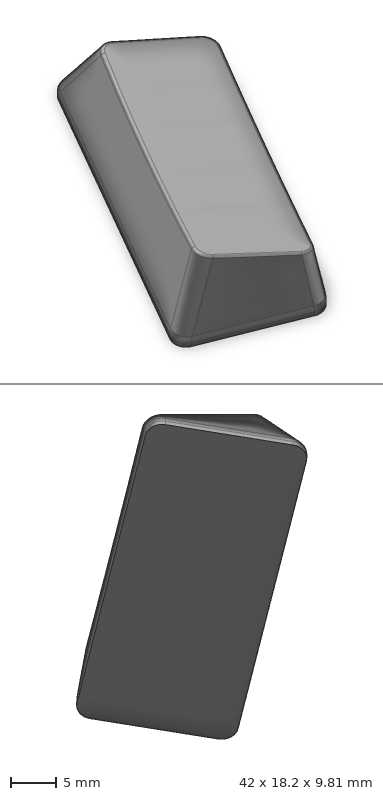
import cadquery as cq
import math

LENGTH = 41.95
DEPTH = 18.17
SKIRT_HEIGHT = 0.65
BEND_HEIGHT = 0.75
CORNER_RADIUS = 1.9

TOP_LENGTH = 34.1
TOP_DEPTH = 14.23
TOP_TILT = 15.8
TOP_CENTRE_Y = 1.85
TOP_CENTRE_HEIGHT = 8.4

DISH_RADIUS = 235.05
DISH_DEPTH = 1.0
RIM_RADIUS = 0.4

TILT = math.radians(TOP_TILT)
SLOPE = cq.Vector(0, math.cos(TILT), -math.sin(TILT))
NORMAL = cq.Vector(0, math.sin(TILT), math.cos(TILT))
TOP_CENTRE = cq.Vector(0, TOP_CENTRE_Y, TOP_CENTRE_HEIGHT)

BEND_MIDDLE = SKIRT_HEIGHT + BEND_HEIGHT / 2
BEND_TOP = SKIRT_HEIGHT + BEND_HEIGHT


def wall_lean(inset, top_height):
    """Angle from the vertical of a wall that starts halfway up the bend."""
    return math.atan2(inset, top_height - BEND_MIDDLE)


FRONT_EDGE = TOP_CENTRE - SLOPE * (TOP_DEPTH / 2)
BACK_EDGE = TOP_CENTRE + SLOPE * (TOP_DEPTH / 2)
FRONT_LEAN = wall_lean(DEPTH / 2 + FRONT_EDGE.y, FRONT_EDGE.z)
BACK_LEAN = wall_lean(DEPTH / 2 - BACK_EDGE.y, BACK_EDGE.z)
SIDE_LEAN = wall_lean((LENGTH - TOP_LENGTH) / 2, TOP_CENTRE.z)


def rounded_rectangle(length, depth, radius):
    return cq.Sketch().rect(length, depth).vertices().fillet(radius)


def bend_inset(lean, height):
    """Inset of a wall on the arc that leaves the skirt upright and ends at the lean."""
    radius = BEND_HEIGHT / math.sin(lean)
    rise = height - SKIRT_HEIGHT
    return radius - math.sqrt(radius**2 - rise**2)


def bend_section(height):
    """Outline of the part at a height between the skirt and the top of the bend."""
    front_inset = bend_inset(FRONT_LEAN, height)
    back_inset = bend_inset(BACK_LEAN, height)
    length = LENGTH - 2 * bend_inset(SIDE_LEAN, height)
    depth = DEPTH - front_inset - back_inset
    centre = cq.Vector(0, (front_inset - back_inset) / 2, height)
    return rounded_rectangle(length, depth, CORNER_RADIUS).moved(cq.Location(centre))


def make_blank():
    """Skirt, bend and leaning walls, stacked."""
    base = cq.Workplane("XY")
    skirt = base.placeSketch(bend_section(SKIRT_HEIGHT)).extrude(-SKIRT_HEIGHT)
    bend_sections = [bend_section(height) for height in (SKIRT_HEIGHT, BEND_MIDDLE, BEND_TOP)]
    bend = base.placeSketch(*bend_sections).loft()
    slope_plane = cq.Plane(TOP_CENTRE, (1, 0, 0), NORMAL)
    top = rounded_rectangle(TOP_LENGTH, TOP_DEPTH, CORNER_RADIUS).moved(cq.Location(slope_plane))
    walls = base.placeSketch(bend_section(BEND_TOP), top).loft(ruled=True)
    return skirt.union(bend).union(walls)


def make_dish():
    """Cylinder that scoops the top along the slope."""
    start = TOP_CENTRE + NORMAL * (DISH_RADIUS - DISH_DEPTH) - SLOPE * DEPTH
    return cq.Workplane(cq.Solid.makeCylinder(DISH_RADIUS, 2 * DEPTH, start, SLOPE))


body = make_blank().cut(make_dish())
middle = TOP_CENTRE - NORMAL * DISH_DEPTH
reach = cq.Vector(1, 1, 1) * (DISH_DEPTH * 2)
dish_face = cq.selectors.BoxSelector((middle - reach).toTuple(), (middle + reach).toTuple())
result = body.faces(dish_face).edges().fillet(RIM_RADIUS)